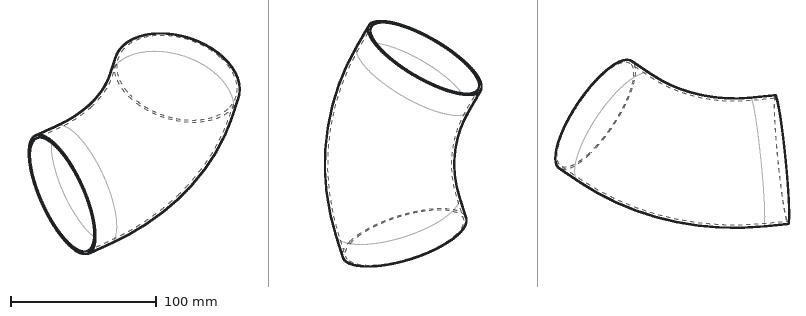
import cadquery as cq
import math

outer_diameter = 89.1
inner_diameter = 85.1
bend_radius = 132.8
bend_angle = 45.0
stub_length = 17.0


def bend_point(angle):
    """Centreline point after turning by the given angle in degrees."""
    turn = math.radians(angle)
    x = bend_radius * (math.cos(turn) - 1)
    y = stub_length + bend_radius * math.sin(turn)
    return x, y


bend_start = bend_point(0)
bend_middle = bend_point(bend_angle / 2)
bend_end = bend_point(bend_angle)
end_turn = math.radians(bend_angle)
pipe_end = (
    bend_end[0] - stub_length * math.sin(end_turn),
    bend_end[1] + stub_length * math.cos(end_turn),
)
centreline = (
    cq.Workplane("XY")
    .lineTo(*bend_start)
    .threePointArc(bend_middle, bend_end)
    .lineTo(*pipe_end)
)

result = (
    cq.Workplane("XZ")
    .circle(outer_diameter / 2)
    .circle(inner_diameter / 2)
    .sweep(centreline)
)